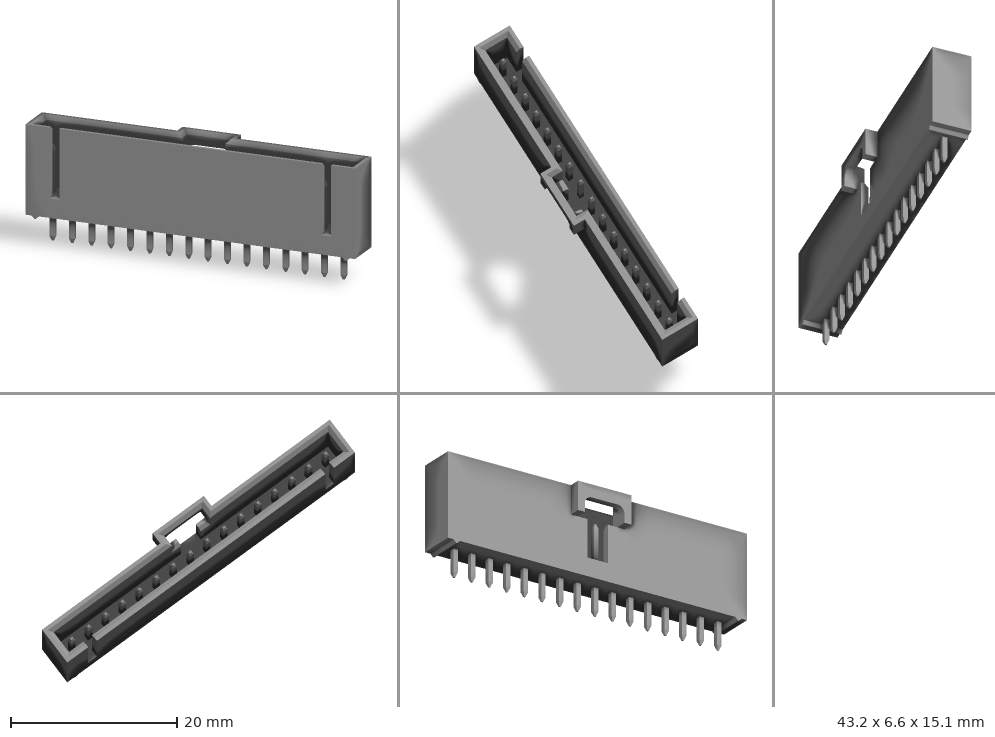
import cadquery as cq

length = 43.2
depth = 5.05
height = 11.45
wall = 1.0
rim_chamfer = 0.5
cavity_depth = 9.0
floor_z = height - cavity_depth
rear_y = depth / 2
front_y = -depth / 2

tab_length = 7.7
tab_depth = 1.55
tab_height = 3.9
tab_z = height - tab_height
lintel_height = 1.73
window_corner_radius = 1.0
notch_width = 3.0

slot_width = 1.3
slot_end_distance = 3.8
slot_x = length / 2 - slot_end_distance

pin_count = 16
pitch = length / (pin_count + 1)
pin_width = 0.65
pin_top_z = floor_z + 6.05
pin_bottom_z = -3.65
point_length = 0.6
point_width = 0.2

rib_height = 0.4
rib_tip_width = 0.15
rib_width = rib_tip_width + 2 * rib_height
rib_end_distance = 1.25
rib_x = length / 2 - rib_end_distance


def block(x_size, y_min, y_max, z_min, z_max, x_center=0.0):
    """Box centred on x_center and bounded by the given Y and Z limits."""
    box = cq.Workplane("XY").box(x_size, y_max - y_min, z_max - z_min, centered=False)
    return box.translate((x_center - x_size / 2, y_min, z_min))


def lead_in(x_size, y_min, y_max):
    """Cutter that opens a rectangular mouth outwards at 45 degrees up to the rim."""
    mouth = cq.Workplane("XY", origin=(0, (y_min + y_max) / 2, height))
    mouth = mouth.rect(x_size + 2 * rim_chamfer, y_max - y_min + 2 * rim_chamfer)
    return mouth.extrude(-rim_chamfer, taper=45)


def make_housing():
    """Open-topped box with its rear tab, wall slots and chamfered rim."""
    tab_rear_y = rear_y + tab_depth
    body = block(length, front_y, rear_y, 0, height)
    body = body.union(block(tab_length, rear_y - wall, tab_rear_y, tab_z, height))

    cavity_length = length - 2 * wall
    cavity_rear_y = rear_y - wall
    tab_cavity_length = tab_length - 2 * wall
    tab_cavity_rear_y = tab_rear_y - wall
    body = body.cut(block(cavity_length, -cavity_rear_y, cavity_rear_y, floor_z, height))
    body = body.cut(block(tab_cavity_length, 0, tab_cavity_rear_y, tab_z, height))
    body = body.cut(lead_in(cavity_length, -cavity_rear_y, cavity_rear_y))
    body = body.cut(lead_in(tab_cavity_length, 0, tab_cavity_rear_y))

    window = block(tab_cavity_length, tab_cavity_rear_y, tab_rear_y, tab_z, height - lintel_height)
    body = body.cut(window.edges("|Y and >Z").fillet(window_corner_radius))

    ledge = cq.Workplane("YZ", origin=(-tab_cavity_length / 2, cavity_rear_y, tab_z))
    ledge = ledge.lineTo(rim_chamfer, 0).lineTo(0, -rim_chamfer).close()
    body = body.cut(ledge.extrude(tab_cavity_length))

    body = body.cut(block(notch_width, 0, rear_y, floor_z, tab_z))

    for x in (-slot_x, slot_x):
        body = body.cut(block(slot_width, front_y, 0, floor_z, height, x))
    return body


def make_rib(x):
    """Blunt rib with 45 degree flanks, running the full depth of the underside."""
    profile = cq.Workplane("XZ", origin=(x, rear_y, 0))
    profile = profile.moveTo(-rib_width / 2, 0).lineTo(rib_width / 2, 0)
    profile = profile.lineTo(rib_tip_width / 2, -rib_height).lineTo(-rib_tip_width / 2, -rib_height)
    return profile.close().extrude(depth)


def make_pin(x):
    """Square pin tapered to a blunt point at both ends."""
    shank_top = pin_top_z - point_length
    shank_bottom = pin_bottom_z + point_length
    pin = block(pin_width, -pin_width / 2, pin_width / 2, shank_bottom, shank_top, x)
    for shank_z, direction in ((shank_top, 1), (shank_bottom, -1)):
        point = cq.Workplane("XY", origin=(x, 0, shank_z)).rect(pin_width, pin_width)
        point = point.workplane(offset=direction * point_length).rect(point_width, point_width)
        pin = pin.union(point.loft(ruled=True))
    return pin


result = make_housing()
for x in (-rib_x, rib_x):
    result = result.union(make_rib(x))
for index in range(pin_count):
    result = result.union(make_pin((index - (pin_count - 1) / 2) * pitch))